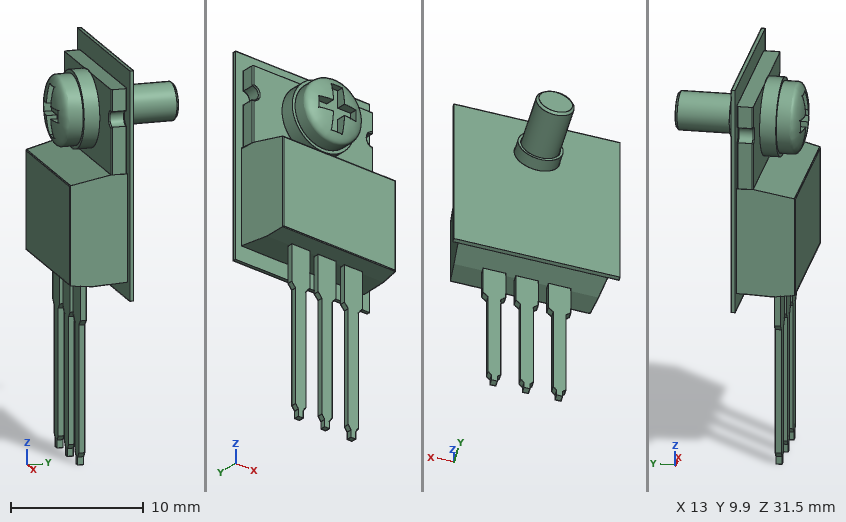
import cadquery as cq


TOTAL_HEIGHT = 31.5
PAD_WIDTH = 13.0
PAD_HEIGHT = 18.0
PAD_THICKNESS = 0.3

TAB_WIDTH = 11.7
TAB_THICKNESS = 1.25
TAB_TOP = 29.97
TAB_CHAMFER = 0.1
NOTCH_RADIUS = 0.6
NOTCH_Z = 27.65

CASE_DEPTH = 4.4
CASE_BACK_WIDTH = 11.9
CASE_FRONT_WIDTH = 10.93
CASE_FRONT_CHAMFER = 0.05
CASE_TOP = 23.32
CASE_TOP_FRONT = 22.62
CASE_BOTTOM_BACK = 14.87
CASE_BOTTOM_RIDGE = 14.65
CASE_BOTTOM_FRONT = 14.8

LEAD_PITCH = 2.55
LEAD_OFFSETS = (-LEAD_PITCH, 0, LEAD_PITCH)
LEAD_THICKNESS = 0.47
LEAD_FRONT_Y = -2.93
LEAD_CENTER_Y = LEAD_FRONT_Y + LEAD_THICKNESS / 2
LEAD_WIDE = 1.75
LEAD_NARROW = 1.0
LEAD_TIP = 0.47
SHOULDER_TOP = 11.45
SHOULDER_BOTTOM = 11.0
TAPER_TOP = 1.0
TAPER_BOTTOM = 0.63

SCREW_Z = 27.05
CLEARANCE_DIAMETER = 3.6
SLEEVE_DIAMETER = 3.53
SLEEVE_END_Y = 1.3
FLANGE_DIAMETER = 6.05
FLANGE_THICKNESS = 1.23
FLANGE_FRONT_Y = -TAB_THICKNESS - FLANGE_THICKNESS
BORE_DIAMETER = 3.1
SHAFT_DIAMETER = 3.0
SHAFT_END_Y = 5.5
SHAFT_CHAMFER = 0.2
HEAD_DIAMETER = 5.5
HEAD_RIM_HEIGHT = 1.05
DOME_HEIGHT = 0.85
CROSS_HEIGHT = 4.0
CROSS_WIDTH = 3.55
CROSS_UPRIGHT_THICKNESS = 1.07
CROSS_BAR_THICKNESS = 0.98
CROSS_DEPTH = 0.85


def block(width, y_front, y_back, z_bottom, z_top):
    """Box centred on X = 0 between the given Y and Z limits."""
    size = (width, y_back - y_front, z_top - z_bottom)
    return cq.Workplane("XY").box(*size, centered=(True, False, False)).translate((0, y_front, z_bottom))


def screw_axis_cylinder(diameter, y_front, y_back):
    """Cylinder around the screw axis between two Y positions."""
    plane = cq.Workplane("XZ", origin=(0, y_back, SCREW_Z))
    return plane.circle(diameter / 2).extrude(y_back - y_front)


def make_pad():
    pad = block(PAD_WIDTH, 0, PAD_THICKNESS, TOTAL_HEIGHT - PAD_HEIGHT, TOTAL_HEIGHT)
    return pad.cut(screw_axis_cylinder(CLEARANCE_DIAMETER, 0, PAD_THICKNESS))


def make_tab():
    """Plate standing on the case, with a round notch in each side and both sides chamfered all along."""
    tab = block(TAB_WIDTH, -TAB_THICKNESS, 0, CASE_TOP, TAB_TOP)
    notch_centers = [(-TAB_WIDTH / 2, NOTCH_Z), (TAB_WIDTH / 2, NOTCH_Z)]
    notches = cq.Workplane("XZ").pushPoints(notch_centers).circle(NOTCH_RADIUS).extrude(TAB_THICKNESS)
    notched = tab.cut(notches)
    side_outlines = notched.faces("<Y or >Y").edges("|Z or %CIRCLE")
    chamfered = side_outlines.chamfer(TAB_CHAMFER)
    return chamfered.cut(screw_axis_cylinder(CLEARANCE_DIAMETER, -TAB_THICKNESS, 0))


def make_case():
    """Side profile of the case, with both flanks drafted inwards toward a chamfered front face."""
    side_profile = [
        (0, CASE_TOP),
        (-TAB_THICKNESS, CASE_TOP),
        (-CASE_DEPTH, CASE_TOP_FRONT),
        (-CASE_DEPTH, CASE_BOTTOM_FRONT),
        (LEAD_CENTER_Y, CASE_BOTTOM_RIDGE),
        (0, CASE_BOTTOM_BACK),
    ]
    profile_plane = cq.Workplane("YZ")
    case = profile_plane.polyline(side_profile).close().extrude(CASE_BACK_WIDTH / 2, both=True)
    drafted_section = [
        (-CASE_BACK_WIDTH / 2, 0),
        (CASE_BACK_WIDTH / 2, 0),
        (CASE_FRONT_WIDTH / 2, -CASE_DEPTH),
        (-CASE_FRONT_WIDTH / 2, -CASE_DEPTH),
    ]
    draft = cq.Workplane("XY").polyline(drafted_section).close().extrude(TOTAL_HEIGHT)
    return case.intersect(draft).faces("<Y").chamfer(CASE_FRONT_CHAMFER)


def make_lead(x_offset, case):
    """Flat lead that necks down twice, its top end trimmed to sit flush against the case."""
    right_edge = [
        (LEAD_TIP / 2, 0),
        (LEAD_TIP / 2, TAPER_BOTTOM),
        (LEAD_NARROW / 2, TAPER_TOP),
        (LEAD_NARROW / 2, SHOULDER_BOTTOM),
        (LEAD_WIDE / 2, SHOULDER_TOP),
        (LEAD_WIDE / 2, CASE_BOTTOM_FRONT),
    ]
    left_edge = [(-x, z) for x, z in reversed(right_edge)]
    plane = cq.Workplane("XZ", origin=(x_offset, LEAD_FRONT_Y + LEAD_THICKNESS, 0))
    return plane.polyline(right_edge + left_edge).close().extrude(LEAD_THICKNESS).cut(case)


def make_bushing():
    sleeve = screw_axis_cylinder(SLEEVE_DIAMETER, -TAB_THICKNESS, SLEEVE_END_Y)
    flange = screw_axis_cylinder(FLANGE_DIAMETER, FLANGE_FRONT_Y, -TAB_THICKNESS)
    return sleeve.union(flange).cut(screw_axis_cylinder(BORE_DIAMETER, FLANGE_FRONT_Y, SLEEVE_END_Y))


def make_screw():
    """Revolved screw with an elliptical dome on its head and a cross recess in the dome."""
    shaft_radius = SHAFT_DIAMETER / 2
    head_radius = HEAD_DIAMETER / 2
    rim_y = FLANGE_FRONT_Y - HEAD_RIM_HEIGHT
    apex_y = rim_y - DOME_HEIGHT
    half_section = (
        cq.Workplane("XY", origin=(0, 0, SCREW_Z))
        .moveTo(0, apex_y)
        .lineTo(0, SHAFT_END_Y)
        .lineTo(shaft_radius - SHAFT_CHAMFER, SHAFT_END_Y)
        .lineTo(shaft_radius, SHAFT_END_Y - SHAFT_CHAMFER)
        .lineTo(shaft_radius, FLANGE_FRONT_Y)
        .lineTo(head_radius, FLANGE_FRONT_Y)
        .lineTo(head_radius, rim_y)
        .ellipseArc(head_radius, DOME_HEIGHT, 270, 360, startAtCurrent=True, sense=-1)
        .close()
    )
    screw = half_section.revolve(360, (0, 0, 0), (0, 1, 0))
    recess_plane = cq.Workplane("XZ", origin=(0, apex_y + CROSS_DEPTH, SCREW_Z))
    upright = recess_plane.rect(CROSS_UPRIGHT_THICKNESS, CROSS_HEIGHT).extrude(CROSS_DEPTH)
    bar = recess_plane.rect(CROSS_WIDTH, CROSS_BAR_THICKNESS).extrude(CROSS_DEPTH)
    return screw.cut(upright).cut(bar)


pad = make_pad()
tab = make_tab()
case = make_case()
leads = [make_lead(x_offset, case) for x_offset in LEAD_OFFSETS]
bushing = make_bushing()
screw = make_screw()

result = cq.Compound.makeCompound(
    [pad.val(), tab.val(), case.val(), *[lead.val() for lead in leads], bushing.val(), screw.val()]
)